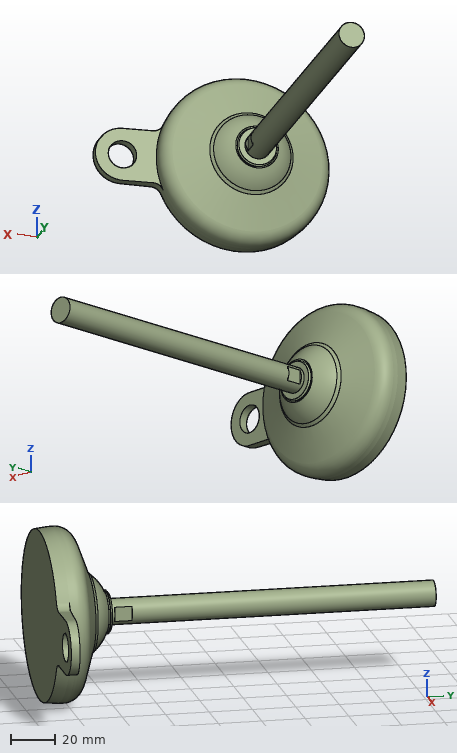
import cadquery as cq
import math


foot_radius = 40.0
foot_draft_angle = 6.0
lower_wall_height = 6.0
straight_wall_height = 8.8
shoulder_radius = 7.5
cone_angle = 21.0
cone_top_height = 21.8
lip_height = 23.1

lug_end_radius = 12.5
lug_hole_diameter = 13.0
lug_reach = 68.0
lug_tip_height = 4.0
lug_slope_angle = 3.4
lug_root_radius = 5.0

ball_radius = 23.0
ball_center_height = 9.0
ball_top_height = 30.0

neck_radius = 9.3
collar_bottom_height = 30.7
collar_top_height = 31.75
collar_bottom_radius = 10.0
collar_top_radius = 8.8
stem_diameter = 12.0
overall_height = 181.5
flat_width = 10.0
flat_length = 8.0
flat_start_height = 33.5


def ball_radius_at(height):
    """Radius of the ball's circular section at a given height."""
    return math.sqrt(ball_radius**2 - (height - ball_center_height)**2)


def revolve_plane():
    """Half-plane for revolved outlines: local x is the radius, local y is the Y axis."""
    return cq.Workplane("ZY")


def revolve_about_axis(outline):
    return outline.close().revolve(360, (0, 0, 0), (0, 1, 0))


def ball_section(outline, end_height):
    """Add the ball's arc from its equator up to end_height."""
    end_radius = ball_radius_at(end_height)
    middle_angle = math.acos(end_radius / ball_radius) / 2
    middle = (
        ball_radius * math.cos(middle_angle),
        ball_center_height + ball_radius * math.sin(middle_angle),
    )
    return outline.threePointArc(middle, (end_radius, end_height))


def make_foot_disc():
    bottom_radius = foot_radius - lower_wall_height * math.tan(math.radians(foot_draft_angle))
    shoulder_center_radius = foot_radius - shoulder_radius
    slope = math.radians(cone_angle)
    normal_angle = math.pi / 2 - slope

    def shoulder_point(angle):
        return (
            shoulder_center_radius + shoulder_radius * math.cos(angle),
            straight_wall_height + shoulder_radius * math.sin(angle),
        )

    cone_start = shoulder_point(normal_angle)
    cone_top_radius = cone_start[0] - (cone_top_height - cone_start[1]) / math.tan(slope)
    outline = (
        revolve_plane()
        .lineTo(bottom_radius, 0)
        .lineTo(foot_radius, lower_wall_height)
        .lineTo(foot_radius, straight_wall_height)
        .threePointArc(shoulder_point(normal_angle / 2), cone_start)
        .lineTo(cone_top_radius, cone_top_height)
        .lineTo(ball_radius_at(lip_height), lip_height)
        .lineTo(0, lip_height)
    )
    return revolve_about_axis(outline)


def make_lug():
    """Round-ended lug from the foot axis outwards, with a sloping top face."""
    center_x = lug_reach - lug_end_radius
    root_height = lug_tip_height + lug_reach * math.tan(math.radians(lug_slope_angle))
    side = (
        cq.Workplane("XY")
        .polyline([(0, 0), (lug_reach, 0), (lug_reach, lug_tip_height), (0, root_height)])
        .close()
        .extrude(lug_end_radius, both=True)
    )
    plan = (
        cq.Workplane("XZ")
        .moveTo(0, -lug_end_radius)
        .lineTo(center_x, -lug_end_radius)
        .threePointArc((lug_reach, 0), (center_x, lug_end_radius))
        .lineTo(0, lug_end_radius)
        .close()
        .extrude(-root_height)
    )
    hole = (
        cq.Workplane("XZ")
        .center(center_x, 0)
        .circle(lug_hole_diameter / 2)
        .extrude(-root_height)
    )
    return side.intersect(plan).cut(hole)


def make_socket():
    """Ball-shaped recess, flat at the equator and open at the lip."""
    outline = revolve_plane().moveTo(0, ball_center_height).lineTo(ball_radius, ball_center_height)
    outline = ball_section(outline, lip_height).lineTo(0, lip_height)
    return revolve_about_axis(outline)


def make_foot():
    body = make_foot_disc().union(make_lug())
    root_zone = cq.selectors.BoxSelector(
        (foot_radius - lug_root_radius, 0, -foot_radius),
        (foot_radius, lower_wall_height, foot_radius),
    )
    body = body.edges(root_zone).edges("%HYPERBOLA").fillet(lug_root_radius)
    return body.cut(make_socket())


def make_stud():
    stem_radius = stem_diameter / 2
    outline = revolve_plane().moveTo(0, ball_center_height).lineTo(ball_radius, ball_center_height)
    outline = (
        ball_section(outline, ball_top_height)
        .lineTo(neck_radius, ball_top_height)
        .lineTo(neck_radius, collar_bottom_height)
        .lineTo(collar_bottom_radius, collar_bottom_height)
        .lineTo(collar_top_radius, collar_top_height)
        .lineTo(stem_radius, collar_top_height)
        .lineTo(stem_radius, overall_height)
        .lineTo(0, overall_height)
    )
    stud = revolve_about_axis(outline)
    flat_middle = flat_start_height + flat_length / 2
    for side in (-1, 1):
        flat_cut = (
            cq.Workplane("XY")
            .box(stem_diameter, flat_length, stem_diameter)
            .translate((side * (flat_width + stem_diameter) / 2, flat_middle, 0))
        )
        stud = stud.cut(flat_cut)
    return stud


foot = make_foot()
stud = make_stud()
result = cq.Compound.makeCompound([foot.val(), stud.val()])